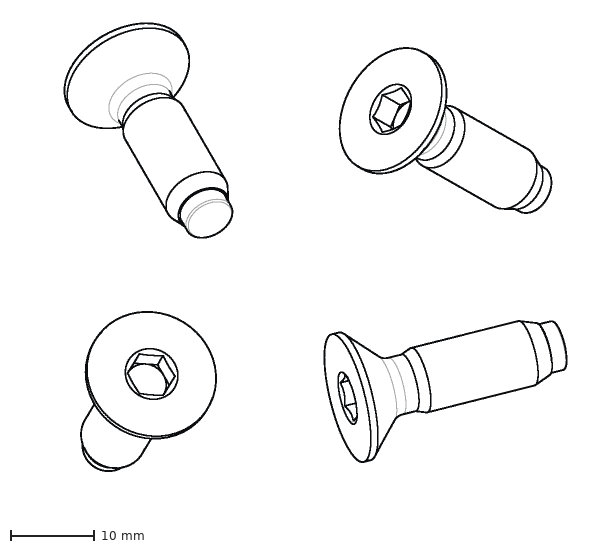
import cadquery as cq
import math

total_length = 27.0
head_diameter = 15.8
head_radius = head_diameter / 2
head_cone_angle = math.radians(45)
head_rim_length = 0.92
neck_radius = 3.5
neck_blend_radius = 1.97
neck_end = 7.83
shank_radius = 4.0
shank_end = 22.9
taper_end = 24.98
taper_angle = math.radians(20)
tip_radius = 3.02
tip_edge_radius = 0.22

socket_sides = 6
socket_flats = 5.02
socket_mouth_radius = 3.2
socket_depth = 3.56
mouth_angle = math.radians(30)
drill_point_angle = math.radians(30)


def revolve_about_axis(profile):
    return profile.revolve(360, (0, 0, 0), (1, 0, 0))


def make_body():
    blend_start_radius = neck_radius + neck_blend_radius * (1 - math.cos(head_cone_angle))
    blend_start = head_rim_length + (head_radius - blend_start_radius) / math.tan(head_cone_angle)
    blend_end = blend_start + neck_blend_radius * math.sin(head_cone_angle)
    mid_angle = head_cone_angle / 2
    blend_mid = (
        blend_end - neck_blend_radius * math.sin(mid_angle),
        neck_radius + neck_blend_radius * (1 - math.cos(mid_angle)),
    )
    slope = math.tan(taper_angle)
    shank_start = neck_end + (shank_radius - neck_radius) / slope
    taper_end_radius = shank_radius - (taper_end - shank_end) * slope

    profile = (
        cq.Workplane("XY")
        .lineTo(0, head_radius)
        .lineTo(head_rim_length, head_radius)
        .lineTo(blend_start, blend_start_radius)
        .threePointArc(blend_mid, (blend_end, neck_radius))
        .lineTo(neck_end, neck_radius)
        .lineTo(shank_start, shank_radius)
        .lineTo(shank_end, shank_radius)
        .lineTo(taper_end, taper_end_radius)
        .lineTo(taper_end, tip_radius)
        .lineTo(total_length, tip_radius)
        .lineTo(total_length, 0)
        .close()
    )
    return revolve_about_axis(profile).faces(">X").edges().fillet(tip_edge_radius)


def make_socket():
    corner_diameter = socket_flats / math.cos(math.pi / socket_sides)
    hexagon = cq.Workplane("YZ").polygon(socket_sides, corner_diameter).extrude(socket_depth)

    drill_radius = socket_flats / 2
    drill_tip = socket_depth + drill_radius * math.tan(drill_point_angle)
    floor = revolve_about_axis(
        cq.Workplane("XY")
        .moveTo(socket_depth, 0)
        .lineTo(socket_depth, drill_radius)
        .lineTo(drill_tip, 0)
        .close()
    )

    mouth_apex = socket_mouth_radius * math.tan(mouth_angle)
    mouth = revolve_about_axis(
        cq.Workplane("XY")
        .lineTo(0, socket_mouth_radius)
        .lineTo(mouth_apex, 0)
        .close()
    )
    return hexagon.union(floor).union(mouth)


result = make_body().cut(make_socket())